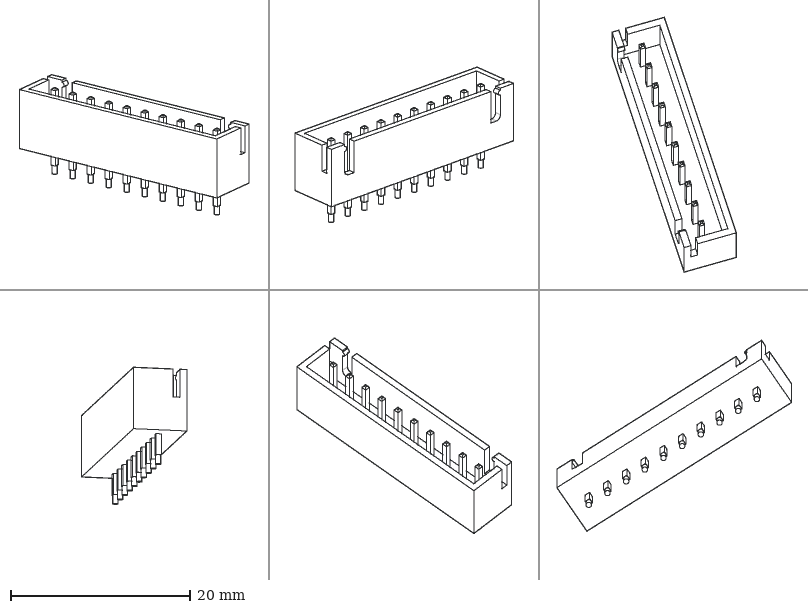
import cadquery as cq

length = 27.4
depth = 6.1
total_height = 10.4
tail_length = 3.4
housing_height = total_height - tail_length

end_wall = 0.77
front_wall = 0.77
back_wall = 0.8
floor_thickness = 1.5

end_slot_width = 0.8
end_slot_depth = 3.18
tab_length = 2.0
back_slot_end = 3.42
back_slot_depth = 3.84
slot_root_radius = 0.6

catch_radius = 0.3
catch_drop = 0.55

pin_count = 10
pin_row_length = 22.5
pin_side = 0.6
pin_back_offset = 2.77
pin_top_drop = 0.25
pin_tip_chamfer = 0.2
round_tip_length = 1.01

half_length = length / 2
back_face = depth / 2
back_inner_face = back_face - back_wall
pin_pitch = pin_row_length / (pin_count - 1)
pin_y = back_face - pin_back_offset


def corner_box(x_min, x_max, y_min, y_max, z_min, z_max):
    """Box given by its limits along each axis."""
    box = cq.Workplane("XY").box(x_max - x_min, y_max - y_min, z_max - z_min, centered=False)
    return box.translate((x_min, y_min, z_min))


def make_tray():
    """Plain rectangular tray before the slots are cut."""
    outer = corner_box(-half_length, half_length, -back_face, back_face, 0, housing_height)
    cavity = corner_box(
        end_wall - half_length,
        half_length - end_wall,
        front_wall - back_face,
        back_inner_face,
        floor_thickness,
        housing_height,
    )
    return outer.cut(cavity)


def make_end_slot():
    """Notch through the left end wall, next to the back wall."""
    return corner_box(
        -half_length,
        end_wall - half_length,
        back_inner_face - end_slot_width,
        back_inner_face,
        housing_height - end_slot_depth,
        housing_height,
    )


def make_back_slot():
    """Notch through the back wall beside the left tab, rounded at the root of the tab."""
    slot = corner_box(
        tab_length - half_length,
        back_slot_end - half_length,
        back_inner_face,
        back_face,
        housing_height - back_slot_depth,
        housing_height,
    )
    return slot.edges("<X and <Z").fillet(slot_root_radius)


def make_catch():
    """Round bar across the left tab, half of it standing proud of the tab edge."""
    return (
        cq.Workplane("XZ", origin=(0, back_face, 0))
        .center(tab_length - half_length, housing_height - catch_drop)
        .circle(catch_radius)
        .extrude(back_wall)
    )


def make_pin(x):
    """Square pin with a chamfered top and a round lower tip."""
    shank_bottom = round_tip_length - tail_length
    shank_length = housing_height - pin_top_drop - shank_bottom
    shank = (
        cq.Workplane("XY", origin=(x, pin_y, shank_bottom))
        .rect(pin_side, pin_side)
        .extrude(shank_length)
        .faces(">Z")
        .chamfer(pin_tip_chamfer)
    )
    round_tip = (
        cq.Workplane("XY", origin=(x, pin_y, -tail_length))
        .circle(pin_side / 2)
        .extrude(round_tip_length)
    )
    return shank.union(round_tip)


def with_mirror(body):
    """The left-hand body together with its right-hand copy."""
    return body.union(body.mirror("YZ"))


result = make_tray()
result = result.cut(with_mirror(make_end_slot()))
result = result.cut(with_mirror(make_back_slot()))
result = result.union(with_mirror(make_catch()))

first_pin_x = -pin_row_length / 2
for index in range(pin_count):
    result = result.union(make_pin(first_pin_x + index * pin_pitch))